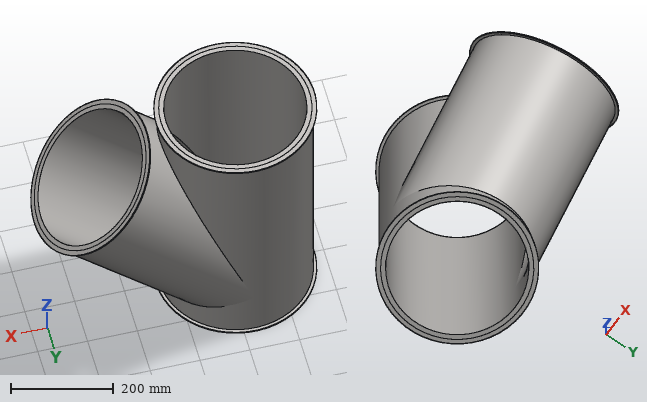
import cadquery as cq

bore_diameter = 278.0
liner_diameter = 298.0
shell_diameter = 304.0
flange_diameter = 317.0
flange_thickness = 3.0

main_height = 520.0
branch_angle = 45.0
branch_start_height = 100.0
branch_length = 412.0

main_base = cq.Plane(origin=(0, 0, 0))
branch_base = cq.Plane(origin=(0, 0, branch_start_height)).rotated((0, branch_angle, 0))


def cylinder(base, diameter, start, length):
    """Cylinder along the normal of base, beginning at the given distance from it."""
    return cq.Workplane(base).workplane(offset=start).circle(diameter / 2).extrude(length)


def y_shape(diameter):
    """Solid main run and a branch of the same diameter, ending flush at the bottom plane."""
    main = cylinder(main_base, diameter, 0, main_height)
    branch = cylinder(branch_base, diameter, 0, branch_length)
    below_main = cylinder(main_base, flange_diameter, -main_height, main_height)
    return main.union(branch.cut(below_main))


def make_shell():
    """Thin outer duct with a flat flange at each of its three open ends."""
    shell = y_shape(shell_diameter)
    flange_places = [
        (main_base, 0),
        (main_base, main_height - flange_thickness),
        (branch_base, branch_length - flange_thickness),
    ]
    for base, start in flange_places:
        shell = shell.union(cylinder(base, flange_diameter, start, flange_thickness))
    return shell.cut(y_shape(liner_diameter))


def make_liner():
    """Liner between the shell and the open bore, flush with the three end faces."""
    return y_shape(liner_diameter).cut(y_shape(bore_diameter))


shell = make_shell()
liner = make_liner()

result = cq.Compound.makeCompound([shell.solids().val(), liner.solids().val()])